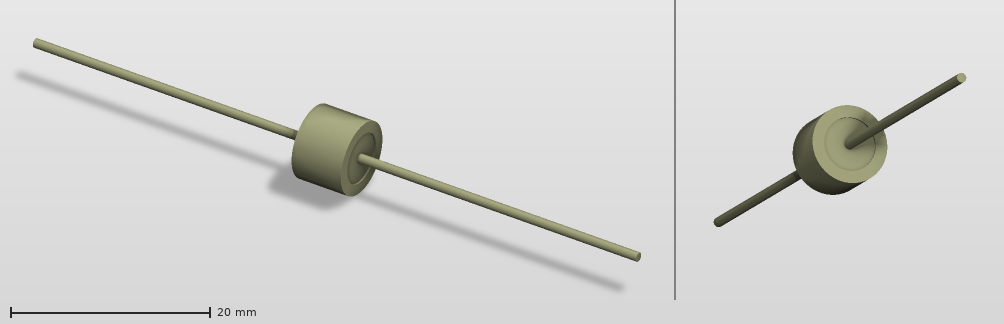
import cadquery as cq

overall_length = 71.0
body_diameter = 8.0
body_length = 5.8
ring_thickness = 0.2
ring_bore_diameter = 5.5
lead_diameter = 1.0

core_length = body_length - 2 * ring_thickness


def centred_cylinder(diameter, length):
    """Solid cylinder on the X axis, centred on the origin."""
    return cq.Workplane("YZ", origin=(-length / 2, 0, 0)).circle(diameter / 2).extrude(length)


def make_core():
    """Round core with a wire lead standing out of each end face."""
    barrel = centred_cylinder(body_diameter, core_length)
    leads = centred_cylinder(lead_diameter, overall_length)
    return barrel.union(leads)


def make_ring(start_x):
    """Flat end ring, flush with the core's outside, running from start_x toward +X."""
    return (
        cq.Workplane("YZ", origin=(start_x, 0, 0))
        .circle(body_diameter / 2)
        .circle(ring_bore_diameter / 2)
        .extrude(ring_thickness)
    )


core = make_core()
rings = [make_ring(start_x) for start_x in (-body_length / 2, core_length / 2)]

result = cq.Compound.makeCompound([core.val(), *[ring.val() for ring in rings]])